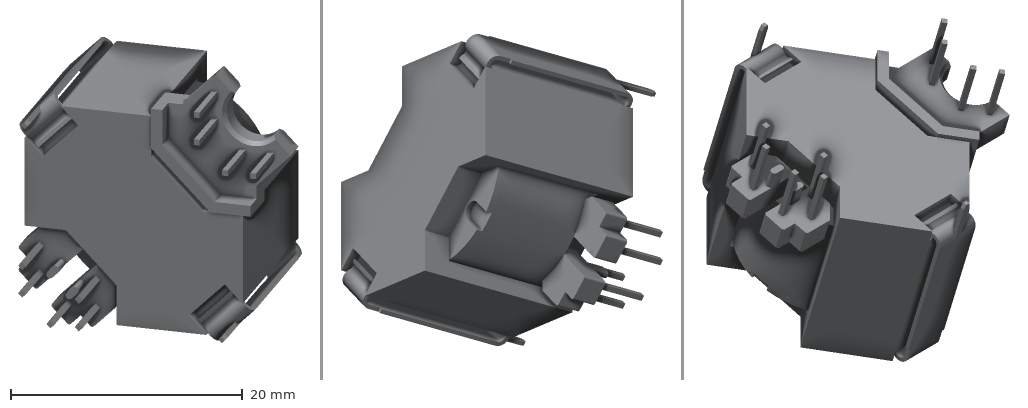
import cadquery as cq
import math

ROOT2 = math.sqrt(2)
ALONG = (1, 0, -1)
ACROSS = (1, 0, 1)

core_half_side = 9.85
core_half_height = 8.22
notch_inset = 1.57
notch_corner = 6.14
clip_corner = 6.55
post_radius = 4.27
window_radius = 8.47
window_half_height = 5.55

recess_start = 9.33
recess_floor = 7.12
recess_half_width = 2.28
recess_fillet = 0.45
cutter_margin = 4.9

tube_bore_radius = 4.37
tube_radius = 5.03
flange_radius = 8.25
flange_end = 5.35
back_flange_inner = 4.76
front_flange_inner = -4.42
slot_half_width = 0.9
slot_centre = 6.4

overall_size = 24.55
block_front = -6.78
rim_front = -8.57
block_half_width = 4.76

rim_inset = 1.67
rim_corner = 7.0
rim_outer = 10.65
rim_width = 1.0
cutout_radius = 2.48
cutout_chamfer = 0.35

arm_start = 6.38
arm_side_start = 7.8
arm_step = 10.7
arm_reach = 12.18
arm_tip_half_width = 3.3
arm_corner_radius = 0.25

lower_extent = (arm_reach + arm_tip_half_width) / ROOT2 - arm_corner_radius * (ROOT2 - 1)
upper_reach = (overall_size - lower_extent) * ROOT2 - block_half_width

lug_start = 8.25
lug_reach = 9.65
lug_width = 0.65
lug_corner_radius = 0.3

pin_width = 0.52
pin_end = -12.03
upper_pins = [(6.85, 11.93), (6.85, 9.4), (9.4, 6.85), (11.93, 6.85)]
lower_pins = [(-8.9, -3.8), (-8.9, -6.35), (-6.35, -8.9), (-3.8, -8.9), (-3.8, -6.35)]

clip_face = 12.8
sheet = 0.4
clip_half_width = 2.23
clip_narrow_half_width = 2.0
clip_narrow_start = 5.87
bend_radius = 0.95
bend_height = 7.02
valley_radius = 0.4
valley_centre = 10.85
tip_outer = 10.5
tip_inner = 10.16
tip_rise = 0.1
tail_half_width = 0.37
tail_tip_half_width = 0.2
tail_taper_start = -10.85
tail_end = -11.37


def square_plane(y):
    """Plane across the winding axis with local axes +X and +Z; extrusion runs toward -Y."""
    return cq.Workplane("XZ", origin=(0, y, 0))


def diagonal_plane(y):
    """Plane across the winding axis with local axes along and across; extrusion runs toward -Y."""
    return cq.Workplane(cq.Plane(origin=(0, y, 0), xDir=ALONG, normal=(0, -1, 0)))


def clip_plane():
    """Plane through the winding axis with local axes along and +Y."""
    return cq.Workplane(cq.Plane(origin=(0, 0, 0), xDir=ALONG, normal=ACROSS))


def opposite(shape):
    """The same shape turned half a turn about the winding axis."""
    return shape.rotate((0, 0, 0), (0, 1, 0), 180)


def arm_recess():
    """Cutter for one clip recess, with a rounded inner corner."""
    return (
        clip_plane()
        .moveTo(recess_start, core_half_height + cutter_margin)
        .lineTo(recess_start, recess_floor + recess_fillet)
        .radiusArc((recess_start + recess_fillet, recess_floor), -recess_fillet)
        .lineTo(clip_face + cutter_margin, recess_floor)
        .lineTo(clip_face + cutter_margin, core_half_height + cutter_margin)
        .close()
        .extrude(recess_half_width, both=True)
    )


def back_core_half():
    """Slotted square block around a centre post, with a ring-shaped window for the winding."""
    half_outline = [
        (-core_half_side, clip_corner),
        (-clip_corner, core_half_side),
        (notch_inset, core_half_side),
        (notch_inset, notch_corner),
        (notch_corner, notch_inset),
        (core_half_side, notch_inset),
    ]
    outline = half_outline + [(-x, -z) for x, z in half_outline]
    body = square_plane(core_half_height).polyline(outline).close().extrude(core_half_height)
    window = (
        square_plane(window_half_height)
        .circle(window_radius)
        .circle(post_radius)
        .extrude(window_half_height)
    )
    recess = arm_recess()
    return body.cut(window).cut(recess).cut(opposite(recess))


def spool():
    """Tube with two flanges, both open toward the lower block through a round-ended slot."""
    length = 2 * flange_end
    tube = diagonal_plane(flange_end).circle(tube_radius).extrude(length)
    back_flange = diagonal_plane(flange_end).circle(flange_radius).extrude(flange_end - back_flange_inner)
    front_flange = (
        diagonal_plane(front_flange_inner).circle(flange_radius).extrude(flange_end + front_flange_inner)
    )
    bore = diagonal_plane(flange_end).circle(tube_bore_radius).extrude(length)
    slot_length = flange_radius + cutter_margin - slot_centre
    slot = (
        diagonal_plane(flange_end)
        .center(0, -slot_centre)
        .circle(slot_half_width)
        .extrude(length)
        .union(
            diagonal_plane(flange_end)
            .center(0, -slot_centre - slot_length / 2)
            .rect(2 * slot_half_width, slot_length)
            .extrude(length)
        )
    )
    return tube.union(back_flange).union(front_flange).cut(bore).cut(slot)


def upper_block():
    """Block with a raised rim beside the core and a half-round cutout in its outer edge."""
    thickness = front_flange_inner - block_front
    shoulder = rim_outer - block_half_width * ROOT2
    outer_x = (upper_reach - block_half_width) / ROOT2
    outer_z = (upper_reach + block_half_width) / ROOT2
    rim_edge = [
        (rim_outer, rim_inset),
        (rim_corner, rim_inset),
        (rim_inset, rim_corner),
        (rim_inset, rim_outer),
    ]
    far_edge = [
        (shoulder, rim_outer),
        (outer_x, outer_z),
        (outer_z, outer_x),
        (rim_outer, shoulder),
    ]
    block = (
        square_plane(front_flange_inner)
        .polyline(rim_edge + far_edge)
        .close()
        .extrude(thickness)
    )

    rim_inside = rim_inset + rim_width
    inside_corner = rim_corner + rim_width * (ROOT2 - 1)
    inside_edge = [
        (rim_inside, rim_outer),
        (rim_inside, inside_corner),
        (inside_corner, rim_inside),
        (rim_outer, rim_inside),
    ]
    rim = (
        square_plane(block_front)
        .polyline(rim_edge + inside_edge)
        .close()
        .extrude(block_front - rim_front)
    )

    cutout = diagonal_plane(front_flange_inner).center(0, upper_reach).circle(cutout_radius).extrude(thickness)
    flare = cq.Solid.makeCone(
        cutout_radius + cutout_chamfer,
        cutout_radius,
        cutout_chamfer,
        pnt=cq.Vector(upper_reach / ROOT2, block_front, upper_reach / ROOT2),
        dir=cq.Vector(0, 1, 0),
    )
    middle = (front_flange_inner + block_front) / 2
    back_flare = flare.mirror("XZ", (0, middle, 0))
    return block.cut(cutout).cut(cq.Workplane(flare)).cut(cq.Workplane(back_flare)).union(rim)


def lower_arm(side):
    """One arm of the lower block with its lug; side is +1 or -1 along the diagonal."""
    neck_half_width = block_half_width - (arm_side_start - arm_start)
    outline = [
        (slot_half_width, arm_start),
        (neck_half_width, arm_start),
        (block_half_width, arm_side_start),
        (block_half_width, arm_step),
        (arm_tip_half_width, arm_step),
        (arm_tip_half_width, arm_reach),
        (slot_half_width, arm_reach),
    ]
    rounded = [
        (block_half_width, arm_step),
        (arm_tip_half_width, arm_reach),
        (slot_half_width, arm_reach),
    ]
    thickness = front_flange_inner - block_front
    arm = (
        diagonal_plane(front_flange_inner)
        .polyline([(side * t, -u) for t, u in outline])
        .close()
        .extrude(thickness)
    )
    for t, u in rounded:
        corner_edge = diagonal_plane(front_flange_inner - thickness / 2).center(side * t, -u).val()
        arm = arm.edges(cq.selectors.NearestToPointSelector(corner_edge.toTuple())).fillet(arm_corner_radius)

    lug = (
        diagonal_plane(block_front)
        .center(side * (slot_half_width + lug_width / 2), -(lug_start + lug_reach) / 2)
        .rect(lug_width, lug_reach - lug_start)
        .extrude(block_front - rim_front)
        .edges("|Y")
        .fillet(lug_corner_radius)
    )
    return arm.union(lug)


def pin(x, z, plane):
    """Square pin whose sides follow the axes of the given plane."""
    local = plane(block_front).plane.toLocalCoords(cq.Vector(x, block_front, z))
    return plane(block_front).center(local.x, local.y).rect(pin_width, pin_width).extrude(block_front - pin_end)


def make_bobbin():
    bobbin = spool().union(upper_block())
    for side in (1, -1):
        bobbin = bobbin.union(lower_arm(side))
    for x, z in upper_pins:
        bobbin = bobbin.union(pin(x, z, square_plane))
    for x, z in lower_pins:
        bobbin = bobbin.union(pin(x, z, diagonal_plane))
    return bobbin


def make_winding():
    return (
        square_plane(back_flange_inner)
        .circle(flange_radius)
        .circle(tube_radius)
        .extrude(back_flange_inner - front_flange_inner)
    )


def polar(centre, radius, angle):
    return (centre[0] + radius * math.cos(angle), centre[1] + radius * math.sin(angle))


def clip_arm(end):
    """Bend and wavy arm at one end of the clip; end is +1 at the back and -1 at the front."""
    bend_centre = (clip_face - bend_radius, bend_height)
    inner_bend = bend_radius - sheet
    inner_valley = valley_radius + sheet

    run = valley_centre - bend_centre[0]
    rise = math.sqrt((bend_radius + valley_radius) ** 2 - run**2)
    turn = math.atan2(rise, run)
    valley = (valley_centre, bend_height + rise)
    outer_tip = math.pi + math.acos((valley_centre - tip_outer) / valley_radius)
    inner_tip = math.pi + math.acos((valley_centre - tip_inner) / inner_valley)
    join = math.pi + turn

    def at(centre, radius, angle):
        r, y = polar(centre, radius, angle)
        return (r, end * y)

    tip = at(valley, valley_radius, outer_tip)
    return (
        clip_plane()
        .moveTo(clip_face - sheet, end * bend_height)
        .lineTo(clip_face, end * bend_height)
        .threePointArc(at(bend_centre, bend_radius, turn / 2), at(bend_centre, bend_radius, turn))
        .threePointArc(at(valley, valley_radius, (join + outer_tip) / 2), tip)
        .lineTo(tip_inner, tip[1] + end * tip_rise)
        .lineTo(*at(valley, inner_valley, inner_tip))
        .threePointArc(at(valley, inner_valley, (join + inner_tip) / 2), at(bend_centre, inner_bend, turn))
        .threePointArc(at(bend_centre, inner_bend, turn / 2), at(bend_centre, inner_bend, 0))
        .close()
        .extrude(clip_half_width if end < 0 else clip_narrow_half_width, both=True)
    )


def clip_wall():
    """Flat wall, narrower at the back, drawn out into a tapered grounding tail at the front."""
    half_outline = [
        (tail_tip_half_width, tail_end),
        (tail_half_width, tail_taper_start),
        (tail_half_width, -bend_height),
        (clip_half_width, -bend_height),
        (clip_half_width, clip_narrow_start),
        (clip_narrow_half_width, clip_narrow_start),
        (clip_narrow_half_width, bend_height),
    ]
    outline = half_outline + [(-u, y) for u, y in reversed(half_outline)]
    inner_face = (clip_face - sheet) / ROOT2
    wall_plane = cq.Plane(origin=(inner_face, 0, -inner_face), xDir=(-1, 0, -1), normal=ALONG)
    return cq.Workplane(wall_plane).polyline(outline).close().extrude(sheet)


def make_clip():
    return clip_wall().union(clip_arm(1)).union(clip_arm(-1))


core_back = back_core_half()
core_front = core_back.mirror("XZ")
bobbin = make_bobbin()
winding = make_winding()
clip = make_clip()
clips = [clip, opposite(clip)]

result = cq.Compound.makeCompound(
    [core_back.val(), core_front.val(), bobbin.val(), winding.val(), *[each.val() for each in clips]]
)